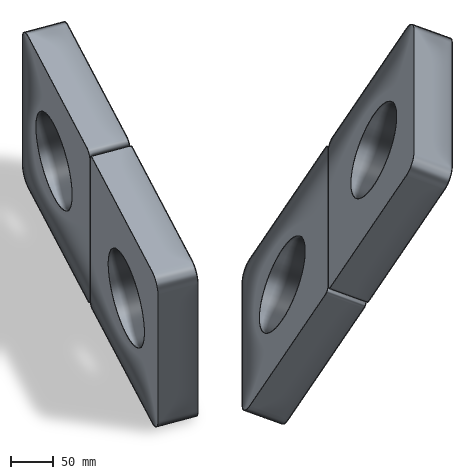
import cadquery as cq

total_length = 450.0
thickness = 50.0
height = 250.0

gap = 1.5
plate_length = (total_length - gap) / 2

hole_diameter = 120.0
hole_spacing = 240.0

outer_radius = 20.0
inner_radius = 6.0
left_top_inner_radius = 11.2


def make_plate(side, top_inner_radius):
    """Make the plate on the -X side (side = -1) or the +X side (side = 1)."""
    plate_center = side * (gap + plate_length) / 2
    plate = cq.Workplane("XY").box(plate_length, thickness, height)
    plate = plate.translate((plate_center, 0, 0))

    outer_end, inner_end = (">X", "<X") if side > 0 else ("<X", ">X")
    plate = plate.edges(f"|Y and {outer_end}").fillet(outer_radius)
    plate = plate.faces(inner_end).edges("<Z").fillet(inner_radius)
    plate = plate.faces(inner_end).edges(">Z").fillet(top_inner_radius)

    bore = (
        cq.Workplane("XZ", origin=(side * hole_spacing / 2, thickness / 2, 0))
        .circle(hole_diameter / 2)
        .extrude(thickness)
    )
    return plate.cut(bore)


left_plate = make_plate(-1, left_top_inner_radius)
right_plate = make_plate(1, inner_radius)

result = cq.Compound.makeCompound([left_plate.val(), right_plate.val()])